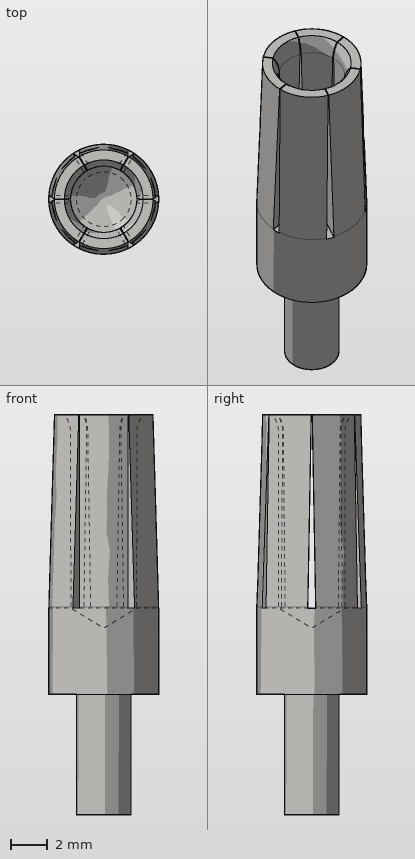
import cadquery as cq
import math

total_length = 21.75
pin_diameter = 2.97
pin_length = 6.55
body_diameter = 5.99
body_length = 4.75
tip_diameter = 5.36

bore_diameter = 3.6
mouth_diameter = 4.28
mouth_depth = 0.97
drill_point_angle = 118.0

finger_count = 6
slot_base_width = 0.42
slot_tip_width = 0.04
slot_overrun = 0.07

pin_radius = pin_diameter / 2
body_radius = body_diameter / 2
tip_radius = tip_diameter / 2
bore_radius = bore_diameter / 2
mouth_radius = mouth_diameter / 2
sleeve_base_z = pin_length + body_length
slot_floor_z = sleeve_base_z - slot_overrun
mouth_base_z = total_length - mouth_depth
cone_depth = bore_radius / math.tan(math.radians(drill_point_angle / 2))


def make_outer_body():
    """Solid of revolution: solder pin, cylindrical body and tapered sleeve."""
    return (
        cq.Workplane("XZ")
        .lineTo(pin_radius, 0)
        .lineTo(pin_radius, pin_length)
        .lineTo(body_radius, pin_length)
        .lineTo(body_radius, sleeve_base_z)
        .lineTo(tip_radius, total_length)
        .lineTo(0, total_length)
        .close()
        .revolve(360, (0, 0, 0), (0, 1, 0))
    )


def make_bore():
    """Blind bore whose mouth flares out along an arc tangent to the bore wall."""
    flare = mouth_radius - bore_radius
    flare_arc_radius = (mouth_depth**2 + flare**2) / (2 * flare)
    half_angle = math.asin(mouth_depth / flare_arc_radius) / 2
    flare_middle = (
        bore_radius + flare_arc_radius * (1 - math.cos(half_angle)),
        mouth_base_z + flare_arc_radius * math.sin(half_angle),
    )
    return (
        cq.Workplane("XZ")
        .moveTo(0, slot_floor_z - cone_depth)
        .lineTo(bore_radius, slot_floor_z)
        .lineTo(bore_radius, mouth_base_z)
        .threePointArc(flare_middle, (mouth_radius, total_length))
        .lineTo(0, total_length)
        .close()
        .revolve(360, (0, 0, 0), (0, 1, 0))
    )


def make_slot(angle):
    """Radial slot from the axis outwards, narrowing towards the tip of the sleeve."""
    return (
        cq.Workplane("YZ")
        .moveTo(-slot_base_width / 2, slot_floor_z)
        .lineTo(slot_base_width / 2, slot_floor_z)
        .lineTo(slot_tip_width / 2, total_length)
        .lineTo(-slot_tip_width / 2, total_length)
        .close()
        .extrude(body_diameter)
        .rotate((0, 0, 0), (0, 0, 1), angle)
    )


result = make_outer_body().cut(make_bore())
for finger in range(finger_count):
    result = result.cut(make_slot(finger * 360 / finger_count))